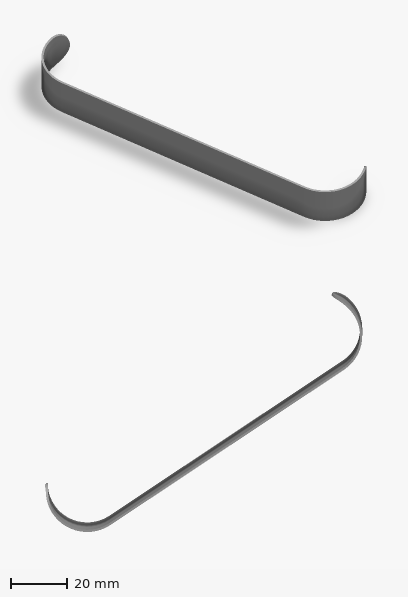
import cadquery as cq
import math

strip_width = 15.0
thickness = 0.8
straight_length = 100.5
inner_radius = 14.0
end_angle = 40.0

outer_radius = inner_radius + thickness
half_straight = straight_length / 2
end_round_radius = strip_width / 2
cutter_reach = inner_radius / 2


def bend_point(radius, angle):
    """Point on the right-hand bend, angle measured in degrees from +X about the bend centre."""
    a = math.radians(angle)
    return (half_straight + radius * math.cos(a), outer_radius + radius * math.sin(a))


def mirrored(point):
    """Matching point on the left-hand side."""
    return (-point[0], point[1])


def make_strip():
    """Flat strip with a bend at each end, extruded symmetrically about Z = 0."""
    mid_angle = (end_angle - 90) / 2
    outer_mid = bend_point(outer_radius, mid_angle)
    outer_end = bend_point(outer_radius, end_angle)
    inner_mid = bend_point(inner_radius, mid_angle)
    inner_end = bend_point(inner_radius, end_angle)
    return (
        cq.Workplane("XY")
        .moveTo(-half_straight, 0)
        .lineTo(half_straight, 0)
        .threePointArc(outer_mid, outer_end)
        .lineTo(*inner_end)
        .threePointArc(inner_mid, (half_straight, thickness))
        .lineTo(-half_straight, thickness)
        .threePointArc(mirrored(inner_mid), mirrored(inner_end))
        .lineTo(*mirrored(outer_end))
        .threePointArc(mirrored(outer_mid), (-half_straight, 0))
        .close()
        .extrude(strip_width / 2, both=True)
    )


def make_right_end_cutter():
    """Block that removes the waste outside a full round whose axis is radial to the bend at its tip.

    In the working plane, local X is the bend tangent pointing out of the tip and local Y is along Z.
    """
    tip = bend_point(inner_radius, end_angle)
    a = math.radians(end_angle)
    plane = cq.Plane(
        origin=(tip[0], tip[1], 0),
        xDir=(-math.sin(a), math.cos(a), 0),
        normal=(math.cos(a), math.sin(a), 0),
    )
    waste = (
        cq.Workplane(plane)
        .moveTo(-end_round_radius, end_round_radius)
        .threePointArc((0, 0), (-end_round_radius, -end_round_radius))
        .lineTo(end_round_radius, -end_round_radius)
        .lineTo(end_round_radius, end_round_radius)
        .close()
    )
    return waste.extrude(cutter_reach, both=True)


right_cutter = make_right_end_cutter()
left_cutter = right_cutter.mirror("YZ")
result = make_strip().cut(right_cutter).cut(left_cutter)